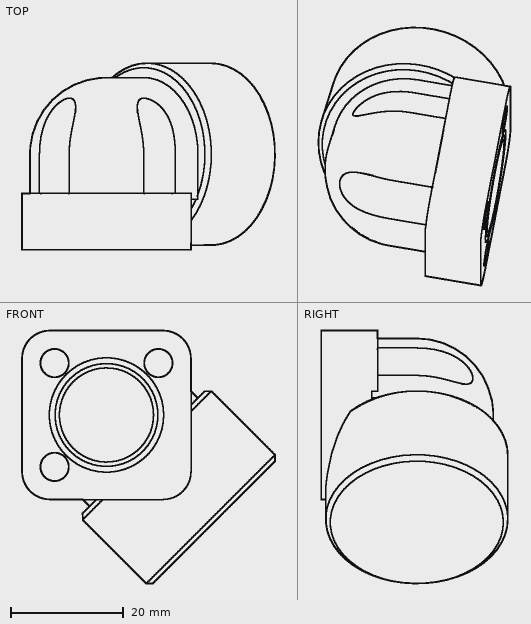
import cadquery as cq
import math

flange_side = 30.0
flange_thickness = 10.0
flange_corner_radius = 5.0
flange_front = -16.98
flange_back = flange_front + flange_thickness

screw_offset = 9.2
screw_diameter = 5.0
relief_radius = 3.73
screw_centres = [(-screw_offset, screw_offset), (screw_offset, screw_offset), (-screw_offset, -screw_offset)]

body_radius = 13.6
neck_skirt_depth = 8.0

collar_radius = 16.15
collar_start = 9.35
collar_end = 26.95
collar_chamfer = 0.8
outlet_direction = cq.Vector(math.sqrt(0.5), 0, -math.sqrt(0.5))

bore_radius = 8.35
bore_depth = 9.0
groove_inner_radius = 9.1
groove_outer_radius = 10.15
groove_depth = 1.0


def front_plane(y):
    """Sketch plane at the given Y: local x is +X, local y is +Z, extruding goes towards -Y."""
    return cq.Workplane("XZ", origin=(0, y, 0))


def outlet_plane(distance):
    """Sketch plane across the outlet axis: local x is +Y, extruding goes outwards."""
    return cq.Workplane(cq.Plane(outlet_direction * distance, (0, 1, 0), outlet_direction))


def make_flange():
    plate = front_plane(flange_back).rect(flange_side, flange_side).extrude(flange_thickness)
    return plate.edges("|Y").fillet(flange_corner_radius)


def make_body():
    barrel = front_plane(0).circle(body_radius).extrude(-flange_back)
    dome = cq.Workplane("XY").sphere(body_radius)
    neck = outlet_plane(0).circle(body_radius).extrude(collar_start)
    skirt = (
        outlet_plane(0)
        .center(-neck_skirt_depth / 2, 0)
        .rect(neck_skirt_depth, 2 * body_radius)
        .extrude(collar_start)
    )
    return barrel.union(dome).union(neck).union(skirt)


def make_collar():
    collar = outlet_plane(collar_start).circle(collar_radius).extrude(collar_end - collar_start)
    return collar.edges().chamfer(collar_chamfer)


def make_screw_reliefs():
    return front_plane(flange_back).pushPoints(screw_centres).circle(relief_radius).extrude(-2 * body_radius)


def make_screw_holes():
    return front_plane(flange_back).pushPoints(screw_centres).circle(screw_diameter / 2).extrude(flange_thickness)


def make_bore():
    return front_plane(flange_front + bore_depth).circle(bore_radius).extrude(bore_depth)


def make_seal_groove():
    ring = front_plane(flange_front + groove_depth).circle(groove_outer_radius).circle(groove_inner_radius)
    return ring.extrude(groove_depth)


result = (
    make_body()
    .cut(make_screw_reliefs())
    .union(make_flange())
    .union(make_collar())
    .cut(make_screw_holes())
    .cut(make_bore())
    .cut(make_seal_groove())
)